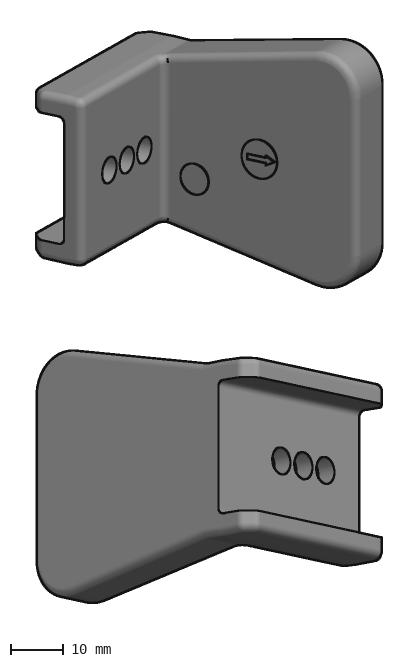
import cadquery as cq
import math

length = 54.5
depth = 40.55
plate_half_height = 23.75
edge_radius = 1.5

base_half_height = 17.0
base_thickness = 12.0
rail_length = 7.9
rail_draft = 0.15
tip_chamfer = 2.45
channel_half_height = 12.85
channel_radius = 1.2

flare_angle = 11.4
flare_start = 11.7
corner_radius = 7.85
plate_root_thickness = 11.2
plate_end_thickness = 10.4
plate_taper = (plate_root_thickness - plate_end_thickness) / (length - base_thickness)
flare_blend_radius = 2.7

hole_diameter = 5.2
hole_pitch = 6.3
first_hole_y = -18.15
hole_count = 3

ejector_x = 18.85
ejector_z = -6.7
ejector_radius = 3.1
ejector_rise = 0.135
dial_x = 33.05
dial_radius = 3.9
dial_rise = 0.08

arrow_depth = 0.2
arrow_tail = 2.7
arrow_tip = 3.4
arrow_head_length = 1.95
arrow_head_half_width = 1.0
arrow_shaft_half_width = 0.55


def plate_front_y(x):
    """Y of the plate's sloping front face at a given x."""
    return -plate_root_thickness + plate_taper * (x - base_thickness)


def edges_in_slab(x, y_min, y_max):
    """Selector for the edges lying in a thin slab around a given x."""
    margin = 0.05
    return cq.selectors.BoxSelector(
        (x - margin, y_min, -plate_half_height),
        (x + margin, y_max, plate_half_height),
    )


def side_prism():
    """Outline in XZ, run through the full depth: drafted rails and the flared plate."""
    flare = math.radians(flare_angle)
    center_x = length - corner_radius
    center_z = plate_half_height - corner_radius
    tangent_x = center_x - corner_radius * math.sin(flare)
    tangent_z = center_z + corner_radius * math.cos(flare)
    start_z = tangent_z - (tangent_x - flare_start) * math.tan(flare)
    middle = math.radians(45 - flare_angle / 2)
    middle_x = center_x + corner_radius * math.cos(middle)
    middle_z = center_z + corner_radius * math.sin(middle)
    tip_half_height = base_half_height - rail_draft
    prism = (
        cq.Workplane("XZ")
        .moveTo(0, -tip_half_height)
        .lineTo(rail_length, -base_half_height)
        .lineTo(flare_start, -start_z)
        .lineTo(tangent_x, -tangent_z)
        .threePointArc((middle_x, -middle_z), (length, -center_z))
        .lineTo(length, center_z)
        .threePointArc((middle_x, middle_z), (tangent_x, tangent_z))
        .lineTo(flare_start, start_z)
        .lineTo(rail_length, base_half_height)
        .lineTo(0, tip_half_height)
        .close()
        .extrude(depth)
    )
    flare_corners = edges_in_slab(flare_start, -depth, 0)
    return prism.edges("|Y").edges(flare_corners).fillet(flare_blend_radius)


def plan_prism():
    """L-shaped outline in XY with chamfered rail tips, run through the full height."""
    return (
        cq.Workplane("XY")
        .moveTo(tip_chamfer, 0)
        .lineTo(length, 0)
        .lineTo(length, -plate_end_thickness)
        .lineTo(base_thickness, -plate_root_thickness)
        .lineTo(base_thickness, -depth)
        .lineTo(tip_chamfer, -depth)
        .lineTo(0, -depth + tip_chamfer)
        .lineTo(0, -tip_chamfer)
        .close()
        .extrude(plate_half_height, both=True)
    )


def rounded_body():
    """Solid bracket with the upright corners of the web and then all outer edges rounded."""
    body = side_prism().intersect(plan_prism())
    web_corners = edges_in_slab(base_thickness, -2 * depth, 0)
    body = body.edges("|Z").edges(web_corners).fillet(edge_radius)
    across = body.edges("not(|Y)")
    rail_tips = body.edges("|Y").edges(edges_in_slab(0, -depth, 0))
    web_face = body.edges("|Y").edges(edges_in_slab(base_thickness, -depth, -plate_root_thickness))
    return across.add(rail_tips).add(web_face).fillet(edge_radius)


def channel():
    """Slot between the rails, open at the rail tips, with rounded inner corners."""
    return (
        cq.Workplane("XY")
        .box(2 * rail_length, 2 * depth, 2 * channel_half_height)
        .translate((0, -depth / 2, 0))
        .edges("|Y and >X")
        .fillet(channel_radius)
    )


def web_holes():
    """Cylinders along X that cut the row of holes through the web."""
    centers = [(first_hole_y - i * hole_pitch, 0) for i in range(hole_count)]
    return cq.Workplane("YZ").pushPoints(centers).circle(hole_diameter / 2).extrude(2 * base_thickness)


def raised_disc(x, z, radius, rise):
    """Flat disc rooted inside the plate and standing proud of its front face."""
    middle_y = plate_front_y(x) / 2
    return cq.Workplane("XZ", origin=(x, middle_y, z)).circle(radius).extrude(rise - middle_y)


def dial_arrow():
    """Arrow pointing along +X, sunk into the face of the dial."""
    dial_front = plate_front_y(dial_x) - dial_rise
    neck = arrow_tip - arrow_head_length
    return (
        cq.Workplane("XZ", origin=(dial_x, dial_front + arrow_depth, 0))
        .moveTo(-arrow_tail, -arrow_shaft_half_width)
        .lineTo(neck, -arrow_shaft_half_width)
        .lineTo(neck, -arrow_head_half_width)
        .lineTo(arrow_tip, 0)
        .lineTo(neck, arrow_head_half_width)
        .lineTo(neck, arrow_shaft_half_width)
        .lineTo(-arrow_tail, arrow_shaft_half_width)
        .close()
        .extrude(2 * arrow_depth)
    )


ejector_mark = raised_disc(ejector_x, ejector_z, ejector_radius, ejector_rise)
dial = raised_disc(dial_x, 0, dial_radius, dial_rise)

result = (
    rounded_body()
    .cut(channel())
    .cut(web_holes())
    .union(ejector_mark)
    .union(dial)
    .cut(dial_arrow())
)